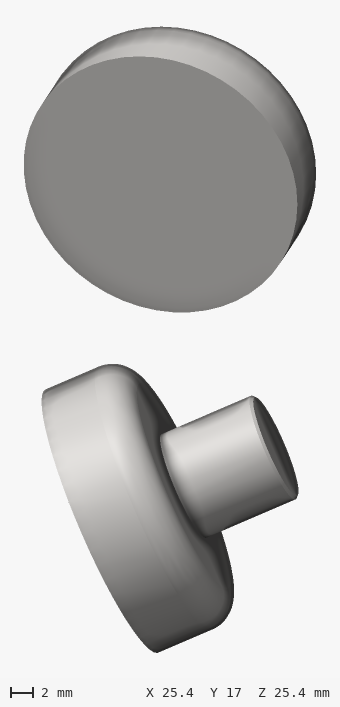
import cadquery as cq

pot_diameter = 25.4
pot_height = 8.0
pot_edge_radius = 2.8

stem_diameter = 10.0
total_length = 17.0
stem_chamfer = 0.25

magnet_diameter = 19.3
ring_outer_diameter = 22.35
recess_depth = 5.08


def cylinder_along_y(diameter, length):
    """Cylinder that starts at the working face and runs toward +Y."""
    return cq.Workplane("XZ").circle(diameter / 2).extrude(-length)


def make_housing():
    """Round-shouldered pot with a stem on its back and a recess in its face."""
    pot = cylinder_along_y(pot_diameter, pot_height).faces(">Y").edges().fillet(pot_edge_radius)
    stem = cylinder_along_y(stem_diameter, total_length).faces(">Y").edges().chamfer(stem_chamfer)
    recess = cylinder_along_y(ring_outer_diameter, recess_depth)
    return pot.union(stem).cut(recess)


def make_ring():
    """Spacer ring that fills the gap between the magnet and the recess wall."""
    return cylinder_along_y(ring_outer_diameter, recess_depth).cut(
        cylinder_along_y(magnet_diameter, recess_depth)
    )


def make_magnet():
    """Plain disc in the middle of the recess."""
    return cylinder_along_y(magnet_diameter, recess_depth)


housing = make_housing()
ring = make_ring()
magnet = make_magnet()

result = cq.Compound.makeCompound([housing.val(), ring.val(), magnet.val()])